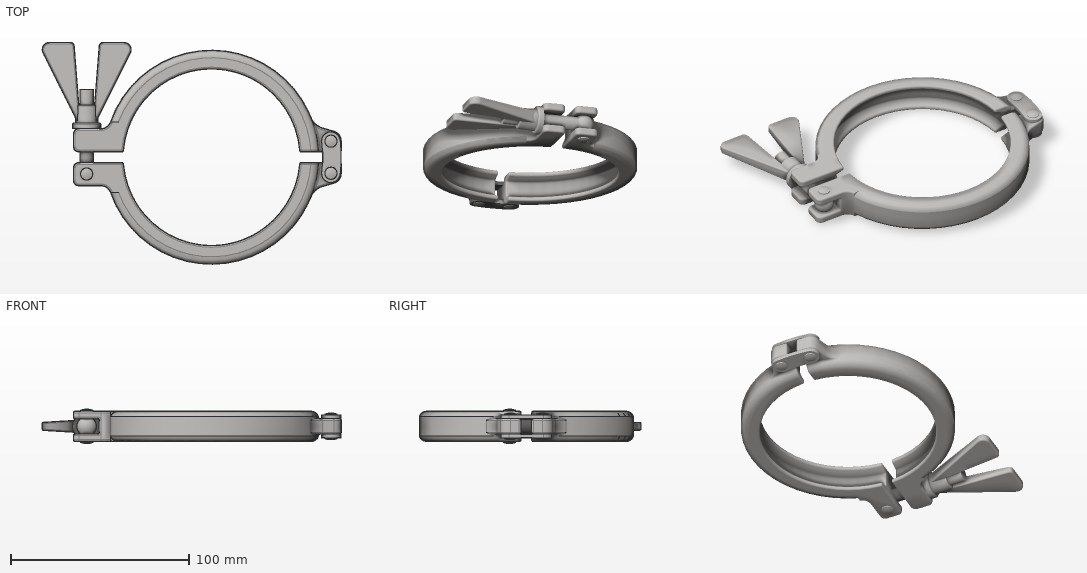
import cadquery as cq
import math

RING_RADIUS = 60.0
RING_HALF_HEIGHT = 8.5
RING_SIDE_HALF_HEIGHT = 5.5
RING_FLAT_RADIUS = 55.8
BORE_RADIUS = 49.5
GROOVE_RADIUS = 55.0
GROOVE_WALL_HALF_HEIGHT = 4.3
GROOVE_FLANK_ANGLE = 20.0
GROOVE_ROUND = 1.0
HALF_GAP = 3.0
EDGE_ROUND = 1.0

LUG_END_X = -77.45
LUG_OUTER_Y = 16.0
LUG_CORNER_ROUND = 3.0
LUG_BLEND_RADIUS = 5.8
SLOT_END_X = -63.0
SLOT_HALF_HEIGHT = 4.25
SLOT_CORNER_ROUND = 1.0

HINGE_X = 66.9
HINGE_Y = 9.0
TAB_RADIUS = 5.8
TAB_HALF_HEIGHT = 4.4
TAB_FLANK_ANGLE = 16.3
TAB_BLEND_RADIUS = 10.0
LINK_END_RADIUS = 5.2
LINK_HALF_HEIGHT = 6.4
RIVET_HALF_LENGTH = 7.5

PIN_RADIUS = 3.4
PIN_DOME_HEIGHT = 0.65

BOLT_X = -70.0
BOLT_RADIUS = 3.85
BOLT_END_Y = 38.0
PIVOT_Y = -9.4
SHANK_ROOT_ROUND = 1.0
PIVOT_PIN_HALF_LENGTH = 9.65
BALL_RADIUS = 5.5
FLANGE_RADIUS = 7.9
FLANGE_THICKNESS = 3.3
FLANGE_ROUND = 1.0
HUB_BASE_RADIUS = 6.3
HUB_TOP_RADIUS = 5.8
HUB_TOP_Y = 29.3
HUB_ROUND = 0.6
WING_TOP_Y = 64.34
WING_ROOT_Y = 20.5
WING_TOP_INNER = 7.15
WING_TOP_OUTER = 27.4
WING_ROOT_INNER = 3.7
WING_ROOT_OUTER = 5.5
WING_TOP_HALF_THICKNESS = 2.15
WING_ROOT_HALF_THICKNESS = 3.5
WING_OUTER_CORNER_ROUND = 4.0
WING_INNER_CORNER_ROUND = 2.2
WING_EDGE_ROUND = 0.8

ROOT_RADIUS = 52.0

TOLERANCE = 0.01


def polar(radius, angle):
    return radius * math.cos(angle), radius * math.sin(angle)


def prism(sketch, half_height):
    """Extrude an XY outline by the same amount above and below Z = 0."""
    return sketch.extrude(half_height, both=True)


def box_between(x, y, z):
    """Box given by its (low, high) limits on each axis."""
    size = [high - low for low, high in (x, y, z)]
    return cq.Workplane("XY").box(*size, centered=False).translate((x[0], y[0], z[0]))


def domed_pin(x, y, half_length):
    """Pin parallel to Z whose two ends are shallow domes."""
    shoulder = half_length - PIN_DOME_HEIGHT
    dome_radius = (PIN_RADIUS**2 + PIN_DOME_HEIGHT**2) / (2 * PIN_DOME_HEIGHT)
    half_sweep = math.asin(PIN_RADIUS / dome_radius) / 2
    mid_radius = dome_radius * math.sin(half_sweep)
    mid_z = half_length - dome_radius * (1 - math.cos(half_sweep))
    pin = (
        cq.Workplane("XZ")
        .moveTo(0, -half_length)
        .threePointArc((mid_radius, -mid_z), (PIN_RADIUS, -shoulder))
        .lineTo(PIN_RADIUS, shoulder)
        .threePointArc((mid_radius, mid_z), (0, half_length))
        .close()
        .revolve(360, (0, 0, 0), (0, 1, 0))
    )
    return pin.translate((x, y, 0))


def round_edges(body, wanted, radius):
    """Fillet the edges of a body for which the test holds."""
    edges = [edge for edge in body.edges().vals() if wanted(edge)]
    return body.newObject(edges).fillet(radius)


def lies_at_height(edge, height):
    """True for an edge in the plane Z = height or Z = -height."""
    box = edge.BoundingBox()
    return box.zlen < TOLERANCE and abs(abs(box.zmin) - height) < TOLERANCE


def lies_on_gap(edge):
    """True for an edge in the face that looks at the other half."""
    return edge.BoundingBox().ymax < HALF_GAP + TOLERANCE


def has_radius(edge, radius):
    return edge.geomType() == "CIRCLE" and abs(edge.radius() - radius) < TOLERANCE


def ring_blank():
    """Half disc with a rounded rim; the bore is cut later."""
    rim_depth = RING_RADIUS - RING_FLAT_RADIUS
    rim_drop = RING_HALF_HEIGHT - RING_SIDE_HALF_HEIGHT
    arc_radius = (rim_depth**2 + rim_drop**2) / (2 * rim_drop)
    half_sweep = math.asin(rim_depth / arc_radius) / 2
    arc_mid_radius = RING_FLAT_RADIUS + arc_radius * math.sin(half_sweep)
    arc_mid_z = RING_HALF_HEIGHT - arc_radius * (1 - math.cos(half_sweep))
    blank = (
        cq.Workplane("XZ")
        .moveTo(0, -RING_HALF_HEIGHT)
        .lineTo(RING_FLAT_RADIUS, -RING_HALF_HEIGHT)
        .threePointArc((arc_mid_radius, -arc_mid_z), (RING_RADIUS, -RING_SIDE_HALF_HEIGHT))
        .lineTo(RING_RADIUS, RING_SIDE_HALF_HEIGHT)
        .threePointArc((arc_mid_radius, arc_mid_z), (RING_FLAT_RADIUS, RING_HALF_HEIGHT))
        .lineTo(0, RING_HALF_HEIGHT)
        .close()
        .revolve(360, (0, 0, 0), (0, 1, 0))
    )
    reach = 2 * RING_RADIUS
    return blank.intersect(box_between((-reach, reach), (HALF_GAP, reach), (-reach, reach)))


def bore_cutter():
    """Bore with the inward-facing groove that grips the pipe flanges."""
    flank_rise = (GROOVE_RADIUS - BORE_RADIUS) * math.tan(math.radians(GROOVE_FLANK_ANGLE))
    mouth = GROOVE_WALL_HALF_HEIGHT + flank_rise
    bore = (
        cq.Workplane("XZ")
        .polyline([
            (0, -RING_HALF_HEIGHT),
            (BORE_RADIUS, -RING_HALF_HEIGHT),
            (BORE_RADIUS, -mouth),
            (GROOVE_RADIUS, -GROOVE_WALL_HALF_HEIGHT),
            (GROOVE_RADIUS, GROOVE_WALL_HALF_HEIGHT),
            (BORE_RADIUS, mouth),
            (BORE_RADIUS, RING_HALF_HEIGHT),
            (0, RING_HALF_HEIGHT),
        ])
        .close()
        .revolve(360, (0, 0, 0), (0, 1, 0))
    )

    def on_groove_root(edge):
        return has_radius(edge, GROOVE_RADIUS)

    return round_edges(bore, on_groove_root, GROOVE_ROUND)


def lug():
    """Closing lug, blended into the ring by a concave arc."""
    blend_y = LUG_OUTER_Y + LUG_BLEND_RADIUS
    blend_x = -math.sqrt((RING_RADIUS + LUG_BLEND_RADIUS) ** 2 - blend_y**2)
    ring_angle = math.atan2(blend_y, blend_x)
    ring_x, ring_y = polar(RING_RADIUS, ring_angle)
    mid_angle = (ring_angle - math.pi - math.pi / 2) / 2
    mid_dx, mid_dy = polar(LUG_BLEND_RADIUS, mid_angle)
    outline = (
        cq.Workplane("XY")
        .moveTo(-ROOT_RADIUS, HALF_GAP)
        .lineTo(LUG_END_X, HALF_GAP)
        .lineTo(LUG_END_X, LUG_OUTER_Y)
        .lineTo(blend_x, LUG_OUTER_Y)
        .threePointArc((blend_x + mid_dx, blend_y + mid_dy), (ring_x, ring_y))
        .lineTo(-math.sqrt(ROOT_RADIUS**2 - ring_y**2), ring_y)
        .close()
    )
    body = prism(outline, RING_HALF_HEIGHT)
    return body.edges("|Z and <X").fillet(LUG_CORNER_ROUND)


def bolt_slot():
    """Slot through the lug along Y, open at the lug's end."""
    slot = box_between(
        (LUG_END_X, SLOT_END_X),
        (HALF_GAP, LUG_OUTER_Y),
        (-SLOT_HALF_HEIGHT, SLOT_HALF_HEIGHT),
    )
    return slot.edges("|Y and >X").fillet(SLOT_CORNER_ROUND)


def hinge_tab():
    """Tab around the hinge rivet, blended into the ring by a concave arc."""
    slope = math.radians(TAB_FLANK_ANGLE)
    normal = (math.sin(slope), math.cos(slope))
    along = (math.cos(slope), -math.sin(slope))
    flank_distance = normal[0] * HINGE_X + normal[1] * HINGE_Y + TAB_RADIUS
    blend_height = flank_distance + TAB_BLEND_RADIUS
    blend_run = math.sqrt((RING_RADIUS + TAB_BLEND_RADIUS) ** 2 - blend_height**2)
    blend_x = normal[0] * blend_height + along[0] * blend_run
    blend_y = normal[1] * blend_height + along[1] * blend_run
    ring_angle = math.atan2(blend_y, blend_x)
    flank_angle = -math.pi / 2 - slope
    mid_dx, mid_dy = polar(TAB_BLEND_RADIUS, (ring_angle - math.pi + flank_angle) / 2)
    flank_start = (
        blend_x - normal[0] * TAB_BLEND_RADIUS,
        blend_y - normal[1] * TAB_BLEND_RADIUS,
    )
    flank_end = (HINGE_X + normal[0] * TAB_RADIUS, HINGE_Y + normal[1] * TAB_RADIUS)
    nose_dx, nose_dy = polar(TAB_RADIUS, (math.pi / 2 - slope) / 2)
    outline = (
        cq.Workplane("XY")
        .moveTo(ROOT_RADIUS, HALF_GAP)
        .lineTo(*polar(ROOT_RADIUS, ring_angle))
        .lineTo(*polar(RING_RADIUS, ring_angle))
        .threePointArc((blend_x + mid_dx, blend_y + mid_dy), flank_start)
        .lineTo(*flank_end)
        .threePointArc((HINGE_X + nose_dx, HINGE_Y + nose_dy), (HINGE_X + TAB_RADIUS, HINGE_Y))
        .lineTo(HINGE_X + TAB_RADIUS, HALF_GAP)
        .close()
    )
    tab = prism(outline, TAB_HALF_HEIGHT)
    ring_x = polar(RING_RADIUS, ring_angle)[0]

    def on_outer_rim(edge):
        outside_ring = edge.BoundingBox().xmin > ring_x - TOLERANCE
        return lies_at_height(edge, TAB_HALF_HEIGHT) and outside_ring and not lies_on_gap(edge)

    return round_edges(tab, on_outer_rim, EDGE_ROUND)


def on_half_outline(edge):
    """Edges of the gap face, the bore lips and the lug's top and bottom."""
    on_lip = has_radius(edge, BORE_RADIUS)
    on_lug = (
        lies_at_height(edge, RING_HALF_HEIGHT)
        and edge.BoundingBox().xmax < -RING_FLAT_RADIUS
    )
    return lies_on_gap(edge) or on_lip or on_lug


def on_tab_root(edge):
    """Edges where the tab's flat sides meet the outside of the ring."""
    return has_radius(edge, RING_RADIUS) and lies_at_height(edge, TAB_HALF_HEIGHT)


def on_slot_mouth(edge):
    """Edges where the slot opens through the sides and end of the lug."""
    box = edge.BoundingBox()
    inside_slot = max(box.zmax, -box.zmin) < SLOT_HALF_HEIGHT + TOLERANCE
    at_lug_end = box.xmin < LUG_END_X + TOLERANCE
    on_side = box.ylen < TOLERANCE
    return inside_slot and box.xmax < SLOT_END_X + TOLERANCE and (at_lug_end or on_side)


def clamp_half():
    """The +Y half of the clamp, without its pin holes."""
    half = ring_blank().union(lug()).union(hinge_tab()).cut(bore_cutter())
    half = round_edges(half, on_half_outline, EDGE_ROUND)
    half = round_edges(half, on_tab_root, EDGE_ROUND)
    half = half.cut(bolt_slot())
    return round_edges(half, on_slot_mouth, EDGE_ROUND)


upper_half = clamp_half()
lower_half = upper_half.mirror("XZ")


def hinge_link():
    """Two curved plates above and below the tabs, joined by two rivets."""
    spine_radius = math.hypot(HINGE_X, HINGE_Y)
    hinge_angle = math.atan2(HINGE_Y, HINGE_X)
    outer = spine_radius + LINK_END_RADIUS
    inner = spine_radius - LINK_END_RADIUS
    tip_x, tip_y = polar(spine_radius, hinge_angle)
    tip_dx, tip_dy = polar(LINK_END_RADIUS, hinge_angle + math.pi / 2)
    outline = (
        cq.Workplane("XY")
        .moveTo(*polar(inner, -hinge_angle))
        .threePointArc((inner, 0), polar(inner, hinge_angle))
        .threePointArc((tip_x + tip_dx, tip_y + tip_dy), polar(outer, hinge_angle))
        .threePointArc((outer, 0), polar(outer, -hinge_angle))
        .threePointArc((tip_x + tip_dx, -tip_y - tip_dy), polar(inner, -hinge_angle))
        .close()
    )
    plates = prism(outline, LINK_HALF_HEIGHT)
    reach = 2 * RING_RADIUS
    gap = (-TAB_HALF_HEIGHT, TAB_HALF_HEIGHT)
    link = plates.cut(box_between((0, reach), (-reach, reach), gap))
    for y in (HINGE_Y, -HINGE_Y):
        link = link.union(domed_pin(HINGE_X, y, RIVET_HALF_LENGTH))
    return link


def wing():
    """Right-hand wing of the nut: a tapered blade leaning away from the bolt."""
    outline = (
        cq.Workplane("XY")
        .polyline([
            (WING_ROOT_INNER, WING_ROOT_Y),
            (WING_TOP_INNER, WING_TOP_Y),
            (WING_TOP_OUTER, WING_TOP_Y),
            (WING_ROOT_OUTER, WING_ROOT_Y),
        ])
        .close()
    )
    blade = prism(outline, WING_ROOT_HALF_THICKNESS)
    blade = blade.edges("|Z and >X").fillet(WING_OUTER_CORNER_ROUND)
    inner_corner = cq.selectors.NearestToPointSelector((WING_TOP_INNER, WING_TOP_Y, 0))
    blade = blade.edges("|Z").edges(inner_corner).fillet(WING_INNER_CORNER_ROUND)
    taper = (
        cq.Workplane("YZ")
        .polyline([
            (WING_ROOT_Y, -WING_ROOT_HALF_THICKNESS),
            (WING_TOP_Y, -WING_TOP_HALF_THICKNESS),
            (WING_TOP_Y, WING_TOP_HALF_THICKNESS),
            (WING_ROOT_Y, WING_ROOT_HALF_THICKNESS),
        ])
        .close()
        .extrude(WING_TOP_OUTER)
    )
    blade = blade.intersect(taper)

    def on_face_outline(edge):
        box = edge.BoundingBox()
        on_one_face = box.zmin > 0 or box.zmax < 0
        return on_one_face and box.ymax > WING_ROOT_Y + TOLERANCE

    return round_edges(blade, on_face_outline, WING_EDGE_ROUND).translate((BOLT_X, 0, 0))


def wing_nut():
    hub_base_y = LUG_OUTER_Y + FLANGE_THICKNESS
    profile = (
        cq.Workplane("XY")
        .polyline([
            (0, LUG_OUTER_Y),
            (FLANGE_RADIUS, LUG_OUTER_Y),
            (FLANGE_RADIUS, hub_base_y),
            (HUB_BASE_RADIUS, hub_base_y),
            (HUB_TOP_RADIUS, HUB_TOP_Y),
            (0, HUB_TOP_Y),
        ])
        .close()
    )
    hub = profile.revolve(360, (0, 0, 0), (0, 1, 0))
    hub = hub.faces(">Y").edges().fillet(HUB_ROUND)

    def on_flange_rim(edge):
        return has_radius(edge, FLANGE_RADIUS) and edge.Center().y > hub_base_y - TOLERANCE

    hub = round_edges(hub, on_flange_rim, FLANGE_ROUND).translate((BOLT_X, 0, 0))
    right_wing = wing()
    left_wing = right_wing.mirror("YZ", (BOLT_X, 0, 0))
    return hub.union(right_wing).union(left_wing)


def swing_bolt():
    """Bolt with its ball end, pivot pin and wing nut."""
    shank = cq.Workplane("XZ", origin=(BOLT_X, PIVOT_Y, 0)).circle(BOLT_RADIUS)
    shank = shank.extrude(PIVOT_Y - BOLT_END_Y)
    ball = cq.Workplane("XY").sphere(BALL_RADIUS).intersect(
        cq.Workplane("XY").box(2 * BALL_RADIUS, 2 * BALL_RADIUS, 2 * SLOT_HALF_HEIGHT)
    )
    ball = ball.translate((BOLT_X, PIVOT_Y, 0))
    pivot_pin = domed_pin(BOLT_X, PIVOT_Y, PIVOT_PIN_HALF_LENGTH)
    bolt = shank.union(ball).union(pivot_pin).union(wing_nut())

    def on_shank_root(edge):
        return has_radius(edge, BOLT_RADIUS) and abs(edge.Center().y - LUG_OUTER_Y) < TOLERANCE

    return round_edges(bolt, on_shank_root, SHANK_ROOT_ROUND)


link = hinge_link()
bolt = swing_bolt()
upper_half = upper_half.cut(link)
lower_half = lower_half.cut(link).cut(bolt)

result = cq.Compound.makeCompound([
    upper_half.val(),
    lower_half.val(),
    link.val(),
    bolt.val(),
])